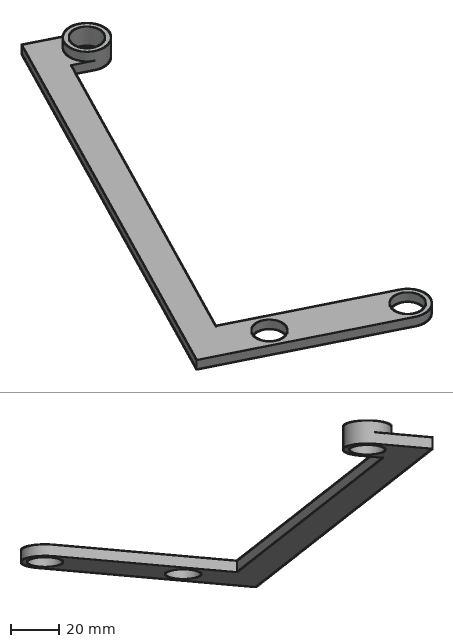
import cadquery as cq

length = 230.0
width = 105.0
height = 10.0
plate_thickness = height / 2
bar_width = 15.0
arm_width = 20.0
hole_diameter = 15.0
short_arm_center_y = 25.0
inner_hole_y = 35.0

end_radius = arm_width / 2
short_arm_x = end_radius
long_arm_x = length - end_radius
long_arm_center_y = width - end_radius


def disc(x, y, diameter, thickness):
    """Upright cylinder standing on the bottom plane."""
    return cq.Workplane("XY").center(x, y).circle(diameter / 2).extrude(thickness)


def round_ended_arm(x, center_y):
    """Flat arm rising from the bar's outer edge to a rounded end."""
    straight = (
        cq.Workplane("XY")
        .center(x, center_y / 2)
        .rect(arm_width, center_y)
        .extrude(plate_thickness)
    )
    return straight.union(disc(x, center_y, arm_width, plate_thickness))


bar = cq.Workplane("XY").rect(length, bar_width, centered=False).extrude(plate_thickness)
plate = bar.union(round_ended_arm(short_arm_x, short_arm_center_y))
plate = plate.union(round_ended_arm(long_arm_x, long_arm_center_y))

result = plate.union(disc(short_arm_x, short_arm_center_y, arm_width, height))

hole_centers = [
    (short_arm_x, short_arm_center_y),
    (long_arm_x, inner_hole_y),
    (long_arm_x, long_arm_center_y),
]
for hole_x, hole_y in hole_centers:
    result = result.cut(disc(hole_x, hole_y, hole_diameter, height))